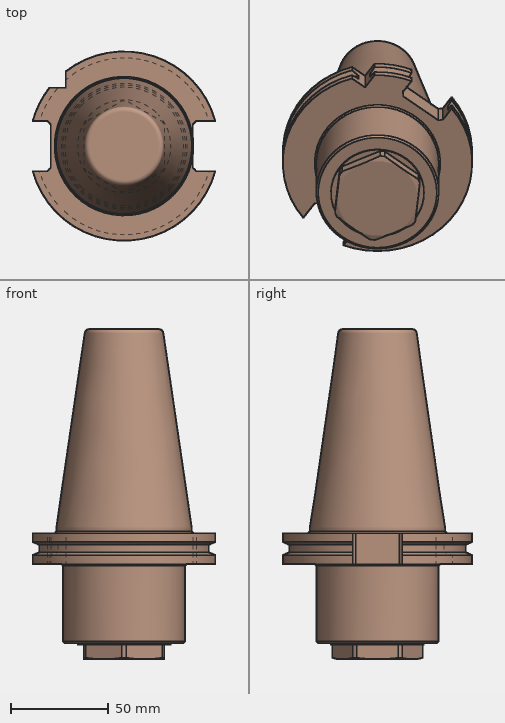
import cadquery as cq


gauge_radius = 69.8 / 2
taper_length = 102.2
taper_slope = 7 / 24 / 2
taper_tip_radius = gauge_radius - taper_length * taper_slope
tip_fillet = 2.5
collar_height = 2.7
collar_flare = 0.8

flange_radius = 97.5 / 2
flange_thickness = 16.0
groove_depth = 3.2
groove_floor_width = 3.7
groove_flank_height = 1.5
groove_middle_drop = 8.0

slot_width = 25.6
left_slot_floor = 37.7
right_slot_floor = 35.5
slot_chamfer = 1.7
notch_x = -30.0
notch_y = 30.0

body_radius = 63.0 / 2
body_chamfer = 1.0
body_flare = 0.8
hex_across_flats = 41.6
hex_corner_radius = 46.7 / 2
hex_bevel_width = 2.7
hex_bevel_height = 0.7
washer_radius = 24.0
washer_thickness = 0.7
hex_height = 7.5
total_height = 169.8

flange_top = -collar_height
flange_bottom = flange_top - flange_thickness
nut_bottom = taper_length - total_height
washer_bottom = nut_bottom + hex_height
body_bottom = washer_bottom + washer_thickness


def make_turned_body():
    """Taper, collar, flange and body as one turned profile."""
    groove_radius = flange_radius - groove_depth
    groove_middle = flange_top - groove_middle_drop
    floor_half = groove_floor_width / 2
    mouth_half = floor_half + groove_flank_height
    profile = (
        cq.Workplane("XZ")
        .moveTo(0, body_bottom)
        .lineTo(body_radius - body_chamfer, body_bottom)
        .lineTo(body_radius, body_bottom + body_chamfer)
        .lineTo(body_radius, flange_bottom - body_flare)
        .lineTo(body_radius + body_flare, flange_bottom)
        .lineTo(flange_radius, flange_bottom)
        .lineTo(flange_radius, groove_middle - mouth_half)
        .lineTo(groove_radius, groove_middle - floor_half)
        .lineTo(groove_radius, groove_middle + floor_half)
        .lineTo(flange_radius, groove_middle + mouth_half)
        .lineTo(flange_radius, flange_top)
        .lineTo(gauge_radius + collar_flare, flange_top)
        .lineTo(gauge_radius, flange_top + collar_flare)
        .lineTo(gauge_radius, 0)
        .lineTo(taper_tip_radius, taper_length)
        .lineTo(0, taper_length)
        .close()
    )
    turned = profile.revolve(360, (0, 0, 0), (0, 1, 0))
    return turned.faces(">Z").edges().fillet(tip_fillet)


def make_slot_cutter(side, floor_distance):
    """Drive slot open towards the rim on the given side of X, with chamfered floor corners."""
    length = flange_radius
    cutter = (
        cq.Workplane("XY", origin=(side * (floor_distance + length / 2), 0, flange_bottom))
        .rect(length, slot_width)
        .extrude(flange_thickness)
    )
    floor_face = "<X" if side > 0 else ">X"
    return cutter.faces(floor_face).edges("|Z").chamfer(slot_chamfer)


def make_notch_cutter():
    """Square notch through the flange rim in the -X +Y quarter."""
    return (
        cq.Workplane("XY", origin=(notch_x, notch_y, flange_bottom))
        .rect(-flange_radius, flange_radius, centered=False)
        .extrude(flange_thickness)
    )


def make_nut():
    """Round washer face and a hexagon with two flats facing X, its corners turned round and bevelled."""
    hexagon = (
        cq.Workplane("XY", origin=(0, 0, nut_bottom))
        .polygon(6, hex_across_flats, circumscribed=True)
        .extrude(hex_height)
    )
    envelope = (
        cq.Workplane("XZ")
        .moveTo(0, nut_bottom)
        .lineTo(hex_corner_radius - hex_bevel_width, nut_bottom)
        .lineTo(hex_corner_radius, nut_bottom + hex_bevel_height)
        .lineTo(hex_corner_radius, washer_bottom)
        .lineTo(0, washer_bottom)
        .close()
        .revolve(360, (0, 0, 0), (0, 1, 0))
    )
    washer = (
        cq.Workplane("XY", origin=(0, 0, washer_bottom))
        .circle(washer_radius)
        .extrude(washer_thickness)
    )
    return hexagon.intersect(envelope).union(washer)


result = (
    make_turned_body()
    .cut(make_slot_cutter(-1, left_slot_floor))
    .cut(make_slot_cutter(1, right_slot_floor))
    .cut(make_notch_cutter())
    .union(make_nut())
)